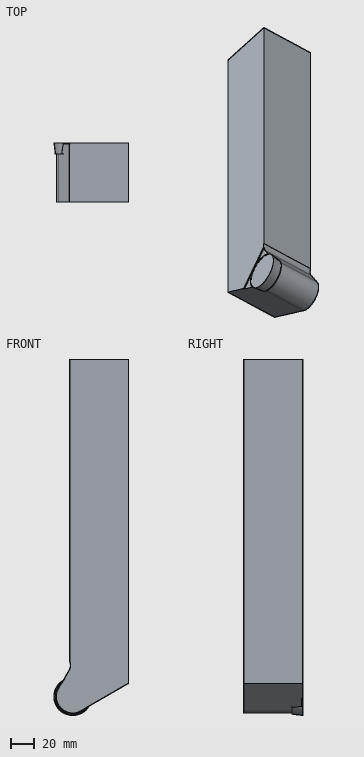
import cadquery as cq
import math

LENGTH = 301.3
SHANK = 50.0
RIGHT = 63.3
LEFT = RIGHT - SHANK

INSERT_RADIUS = 16.0
INSERT_THICKNESS = 9.3
RELIEF_ANGLE = 7.0
INSERT_X = INSERT_RADIUS
INSERT_Z = INSERT_RADIUS

NOSE_RADIUS = 14.0
FLANK_ANGLE = 60.0
BASE_ANGLE = 30.0
NECK_RADIUS = 9.0
NECK_TOP = 46.0
NECK_BOTTOM = 37.7

STEP_DEPTH = 1.0
STEP_START = 42.8


def polar(center, radius, angle):
    """Point on a circle at an angle in degrees from +X."""
    a = math.radians(angle)
    return (center[0] + radius * math.cos(a), center[1] + radius * math.sin(a))


def extrude_back(sketch, back_y, depth):
    """Extrude an XZ outline toward +Y so that it ends at back_y."""
    return sketch.extrude(-depth).translate((0, back_y - depth, 0))


def make_insert():
    """Tapered disc, widest at the +Y side."""
    small_radius = INSERT_RADIUS - INSERT_THICKNESS * math.tan(math.radians(RELIEF_ANGLE))
    start = cq.Vector(INSERT_X, SHANK - INSERT_THICKNESS, INSERT_Z)
    cone = cq.Solid.makeCone(small_radius, INSERT_RADIUS, INSERT_THICKNESS, start, cq.Vector(0, 1, 0))
    return cq.Workplane(cone)


def make_blank():
    """Shank and nose in one outline, the two nose faces tangent to the nose arc."""
    center = (INSERT_X, INSERT_Z)
    flank_start = polar(center, NOSE_RADIUS, FLANK_ANGLE + 90)
    nose_middle = polar(center, NOSE_RADIUS, (FLANK_ANGLE + BASE_ANGLE) / 2 + 180)
    base_start = polar(center, NOSE_RADIUS, BASE_ANGLE - 90)
    corner_z = base_start[1] + (RIGHT - base_start[0]) * math.tan(math.radians(BASE_ANGLE))
    neck_x = flank_start[0] + (NECK_BOTTOM - flank_start[1]) / math.tan(math.radians(FLANK_ANGLE))
    outline = (
        cq.Workplane("XZ")
        .moveTo(LEFT, LENGTH)
        .lineTo(RIGHT, LENGTH)
        .lineTo(RIGHT, corner_z)
        .lineTo(*base_start)
        .threePointArc(nose_middle, flank_start)
        .lineTo(neck_x, NECK_BOTTOM)
        .radiusArc((LEFT, NECK_TOP), -NECK_RADIUS)
        .close()
    )
    return extrude_back(outline, SHANK, SHANK)


def make_step():
    """Shallow wedge across the nose, its edge square to the nose's centre line."""
    outline = (
        cq.Workplane("XZ")
        .moveTo(0, STEP_START + LEFT)
        .lineTo(STEP_START + LEFT, 0)
        .lineTo(0, 0)
        .close()
    )
    return extrude_back(outline, SHANK, STEP_DEPTH)


insert = make_insert()
holder = make_blank().cut(make_step()).cut(insert)

result = cq.Compound.makeCompound([holder.val(), insert.val()])